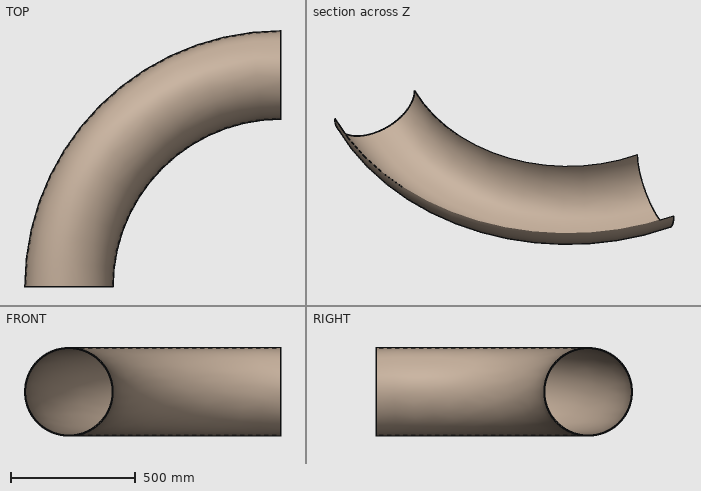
import cadquery as cq

overall_side = 1028.0
outer_diameter = 356.0
wall_thickness = 4.0

outer_radius = outer_diameter / 2
inner_radius = outer_radius - wall_thickness
bend_radius = overall_side - outer_radius
bend_angle = 90

pipe_section = cq.Workplane("XZ").circle(outer_radius).circle(inner_radius)
result = pipe_section.revolve(bend_angle, (bend_radius, 0, 0), (bend_radius, -1, 0))